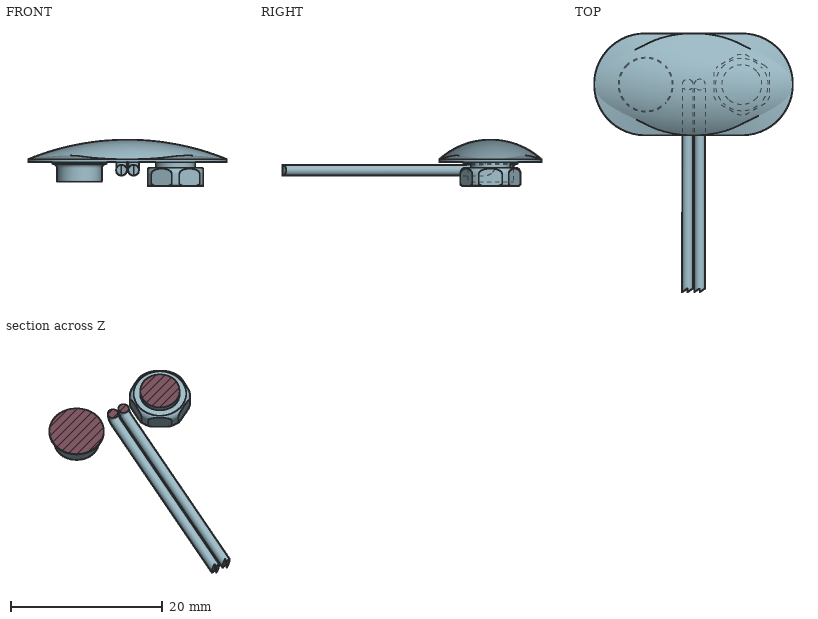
import cadquery as cq
import math

PLATE_LENGTH = 26.29
PLATE_WIDTH = 13.5
PLATE_THICKNESS = 0.4
END_RADIUS = PLATE_WIDTH / 2
END_CENTRE = PLATE_LENGTH / 2 - END_RADIUS

TOTAL_HEIGHT = 6.15
CAP_HEIGHT = 3.0
DOME_HEIGHT = CAP_HEIGHT - PLATE_THICKNESS
DOME_EDGE_INSET = 0.01

SHOULDER_APEX_HEIGHT = 1.9
SHOULDER_APEX_X = 4.0
SHOULDER_CUT = 0.6

POST_OFFSET = 6.35

BOSS_RADIUS = 3.0
BOSS_DEPTH = 2.6
BOSS_EDGE_ROUND = 0.2
FLANGE_RADIUS = 3.62
FLANGE_THICKNESS = 0.25
FLANGE_CHAMFER = 0.12
COVE_RADIUS = 0.5

NECK_RADIUS = 2.63
NUT_TOP = 0.72
NUT_BOTTOM = CAP_HEIGHT - TOTAL_HEIGHT
NUT_ACROSS_FLATS = 7.38
NUT_CORNER_RADIUS = 4.0
NUT_TOP_ROUND = 0.9
NUT_ROUND_START = 1.54
NUT_BOTTOM_ROUND = 0.35

WIRE_RADIUS = 0.72
WIRE_PITCH = 1.6
WIRE_AXIS_DEPTH = 1.06
WIRE_BEND_RADIUS = 0.9
TOTAL_WIDTH = 34.23
WIRE_END_Y = PLATE_WIDTH / 2 - TOTAL_WIDTH
WIRE_TOOTH = 0.5

OVERLAP = 0.2


def bulge_radius(half_chord, rise):
    """Radius of the arc over a chord with the given rise."""
    return (half_chord**2 + rise**2) / (2 * rise)


def stadium_wire(half_straight, radius, z):
    return (
        cq.Workplane("XY", origin=(0, 0, z))
        .moveTo(-half_straight, -radius)
        .lineTo(half_straight, -radius)
        .threePointArc((half_straight + radius, 0), (half_straight, radius))
        .lineTo(-half_straight, radius)
        .threePointArc((-half_straight - radius, 0), (-half_straight, -radius))
        .close()
        .val()
    )


def make_plate():
    outline = stadium_wire(END_CENTRE, END_RADIUS, 0)
    return cq.Workplane(cq.Solid.extrudeLinear(outline, [], cq.Vector(0, 0, PLATE_THICKNESS)))


def make_shoulder():
    top_half_straight = END_CENTRE + (SHOULDER_APEX_X - END_CENTRE) * SHOULDER_CUT
    top_radius = END_RADIUS * (1 - SHOULDER_CUT)
    top_z = PLATE_THICKNESS + SHOULDER_APEX_HEIGHT * SHOULDER_CUT
    rim = stadium_wire(END_CENTRE, END_RADIUS, PLATE_THICKNESS)
    top = stadium_wire(top_half_straight, top_radius, top_z)
    return cq.Workplane(cq.Solid.makeLoft([rim, top], True))


def make_dome():
    half_length = PLATE_LENGTH / 2 - DOME_EDGE_INSET
    half_width = PLATE_WIDTH / 2 - DOME_EDGE_INSET
    axis_z = CAP_HEIGHT - bulge_radius(half_width, DOME_HEIGHT)
    lens = (
        cq.Workplane("XZ")
        .moveTo(-half_length, axis_z)
        .lineTo(-half_length, PLATE_THICKNESS)
        .threePointArc((0, CAP_HEIGHT), (half_length, PLATE_THICKNESS))
        .lineTo(half_length, axis_z)
        .close()
        .revolve(360, (0, axis_z, 0), (1, axis_z, 0))
    )
    above_plate = (
        cq.Workplane("XY", origin=(0, 0, PLATE_THICKNESS))
        .rect(2 * PLATE_LENGTH, 2 * PLATE_WIDTH)
        .extrude(CAP_HEIGHT)
    )
    return lens.intersect(above_plate)


def make_flanged_post():
    cove_bottom = -FLANGE_THICKNESS - COVE_RADIUS
    cove_centre_x = BOSS_RADIUS + COVE_RADIUS
    cove_mid = COVE_RADIUS * math.sqrt(0.5)
    return (
        cq.Workplane("XZ")
        .moveTo(0, OVERLAP)
        .lineTo(FLANGE_RADIUS, OVERLAP)
        .lineTo(FLANGE_RADIUS, FLANGE_CHAMFER - FLANGE_THICKNESS)
        .lineTo(cove_centre_x, -FLANGE_THICKNESS)
        .threePointArc((cove_centre_x - cove_mid, cove_bottom + cove_mid), (BOSS_RADIUS, cove_bottom))
        .lineTo(BOSS_RADIUS, -BOSS_DEPTH)
        .lineTo(0, -BOSS_DEPTH)
        .close()
        .revolve(360, (0, 0, 0), (0, 1, 0))
        .faces("<Z")
        .edges()
        .fillet(BOSS_EDGE_ROUND)
        .translate((-POST_OFFSET, 0, 0))
    )


def make_nut_post():
    neck = cq.Workplane("XY", origin=(0, 0, OVERLAP)).circle(NECK_RADIUS).extrude(NUT_BOTTOM - OVERLAP)
    nut_height = -NUT_TOP - NUT_BOTTOM
    blank_height = NUT_TOP_ROUND - NUT_ROUND_START - NUT_BOTTOM
    turned_blank = (
        cq.Workplane("XY", origin=(0, 0, NUT_BOTTOM))
        .circle(NUT_CORNER_RADIUS)
        .extrude(blank_height)
        .faces(">Z").edges().fillet(NUT_TOP_ROUND)
        .faces("<Z").edges().fillet(NUT_BOTTOM_ROUND)
    )
    hexagon = (
        cq.Workplane("XY", origin=(0, 0, NUT_BOTTOM))
        .polygon(6, NUT_ACROSS_FLATS, circumscribed=True)
        .extrude(nut_height)
    )
    return turned_blank.intersect(hexagon).union(neck).translate((POST_OFFSET, 0, 0))


def make_wire(x):
    """Wire that drops from the plate, bends and runs toward -Y to a two-toothed end."""
    bend_mid = WIRE_BEND_RADIUS * (1 - math.sqrt(0.5))
    path = (
        cq.Workplane("YZ", origin=(x, 0, 0))
        .moveTo(0, OVERLAP)
        .lineTo(0, WIRE_BEND_RADIUS - WIRE_AXIS_DEPTH)
        .threePointArc((-bend_mid, bend_mid - WIRE_AXIS_DEPTH), (-WIRE_BEND_RADIUS, -WIRE_AXIS_DEPTH))
        .lineTo(WIRE_END_Y, -WIRE_AXIS_DEPTH)
    )
    wire = cq.Workplane("XY", origin=(x, 0, OVERLAP)).circle(WIRE_RADIUS).sweep(path)
    for tooth_x in (x - WIRE_RADIUS, x):
        notch = (
            cq.Workplane("XY", origin=(tooth_x, WIRE_END_Y, -WIRE_AXIS_DEPTH))
            .polyline([(0, 0), (WIRE_RADIUS, 0), (WIRE_RADIUS, WIRE_TOOTH)])
            .close()
            .extrude(2 * WIRE_RADIUS, both=True)
        )
        wire = wire.cut(notch)
    return wire


cap = make_plate().union(make_shoulder()).union(make_dome())
result = cap.union(make_flanged_post()).union(make_nut_post())
for side in (-1, 1):
    result = result.union(make_wire(side * WIRE_PITCH / 2))